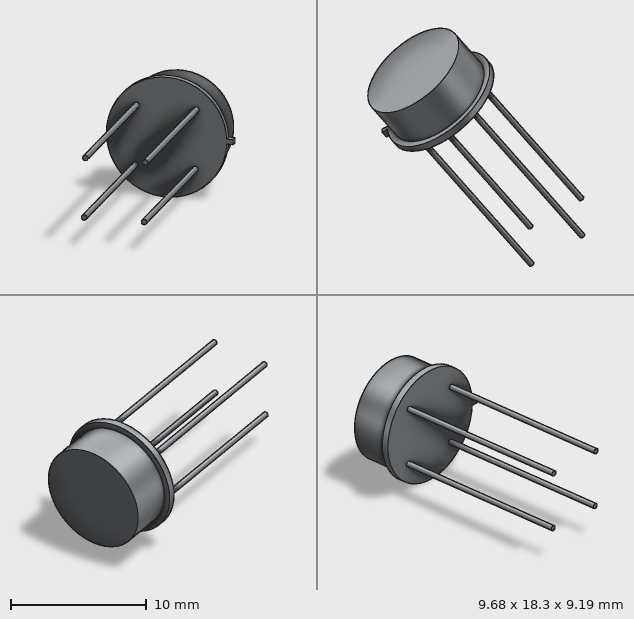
import cadquery as cq

total_length = 18.3
can_diameter = 8.2
can_height = 3.25
flange_diameter = 9.19
flange_thickness = 0.55

total_width = 9.68
tab_width = 0.4

lead_diameter = 0.42
lead_pitch = 4.58
lower_row_shift = -0.1

flange_radius = flange_diameter / 2
tab_reach = total_width - flange_radius
lead_length = total_length - can_height - flange_thickness


def lead_centres():
    """X, Z positions of the leads around the can axis."""
    half_pitch = lead_pitch / 2
    upper_row = [(side * half_pitch, half_pitch) for side in (-1, 1)]
    lower_row = [(x + lower_row_shift, -z) for x, z in upper_row]
    return upper_row + lower_row


lead_face = cq.Workplane("XZ")

flange = lead_face.circle(flange_radius).extrude(-flange_thickness)
tab_blank = lead_face.rect(tab_reach, tab_width).extrude(-flange_thickness)
tab = tab_blank.translate((tab_reach / 2, 0, 0))
can = lead_face.circle(can_diameter / 2).extrude(-(flange_thickness + can_height))
leads = lead_face.pushPoints(lead_centres()).circle(lead_diameter / 2).extrude(lead_length)

result = flange.union(tab).union(can).union(leads)